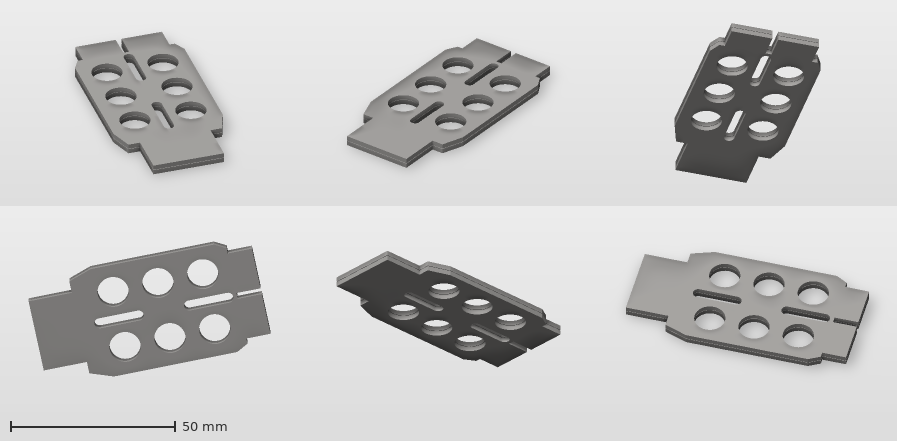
import cadquery as cq

length = 70.05
width = 35.0
stack_height = 3.15
plate_gap = 0.15
plate_thickness = (stack_height - plate_gap) / 2

split_tab_length = 7.5
split_tab_half_width = 13.9
split_width = 1.9
front_shoulder_half_width = 15.55
front_bevel_end = 11.1
rear_bevel_start = 49.45
rear_shoulder_x = 56.6
rear_shoulder_half_width = 15.0
rear_tab_half_width = 11.3
rear_edge_skew = 0.035

window_diameter = 9.5
window_row_offset = 9.0
first_window_x = 16.3
window_pitch = 13.95
window_columns = [first_window_x + i * window_pitch for i in range(3)]
slot_length = 15.3
slot_width = 3.2
slot_columns = [window_columns[0], window_columns[-1]]


def plate_blank():
    """Flat plate with bevelled shoulders, a split front tab and a solid rear tab."""
    half_width = width / 2
    half_split = split_width / 2
    upper_edge = [
        (0, half_split),
        (0, split_tab_half_width),
        (split_tab_length, split_tab_half_width),
        (split_tab_length, front_shoulder_half_width),
        (front_bevel_end, half_width),
        (rear_bevel_start, half_width),
        (rear_shoulder_x, rear_shoulder_half_width),
        (rear_shoulder_x, rear_tab_half_width),
    ]
    lower_edge = [(x, -y) for x, y in reversed(upper_edge)]
    rear_edge = [
        (length, rear_tab_half_width),
        (length - rear_edge_skew, -rear_tab_half_width),
    ]
    split_bottom = [
        (split_tab_length, -half_split),
        (split_tab_length, half_split),
    ]
    outline = upper_edge + rear_edge + lower_edge + split_bottom
    return cq.Workplane("XY").polyline(outline).close().extrude(plate_thickness)


def window_cutters():
    """Two rows of round windows."""
    centres = [(x, side * window_row_offset) for x in window_columns for side in (-1, 1)]
    return cq.Workplane("XY").pushPoints(centres).circle(window_diameter / 2).extrude(plate_thickness)


def slot_cutters():
    """Round-ended slots on the centre line, between the end pairs of windows."""
    centres = [(x, 0) for x in slot_columns]
    return cq.Workplane("XY").pushPoints(centres).slot2D(slot_length, slot_width).extrude(plate_thickness)


def make_plate(base_z):
    """One perforated plate whose underside lies at base_z."""
    plate = plate_blank().cut(window_cutters()).cut(slot_cutters())
    return plate.translate((0, 0, base_z))


plates = [make_plate(i * (plate_thickness + plate_gap)) for i in range(2)]

result = cq.Compound.makeCompound([plate.val() for plate in plates])